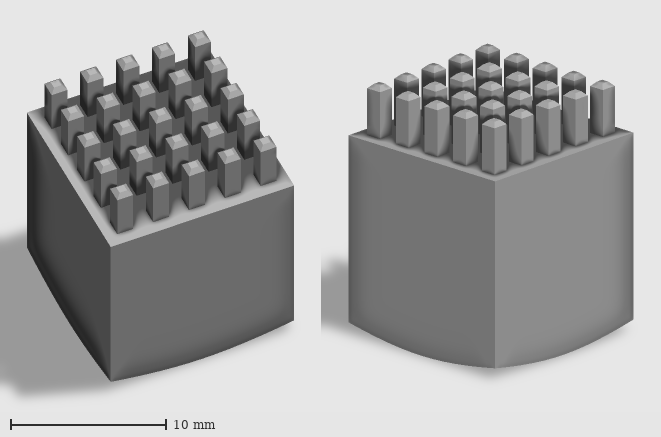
import cadquery as cq
import math

body_width = 13.0
body_height = 13.5

relief_angle = 15.0
relief_start_radius = body_width / 2
corner_radius = body_width / math.sqrt(2)
cone_outer_radius = corner_radius + 1.0
cone_rise = (cone_outer_radius - relief_start_radius) * math.tan(math.radians(relief_angle))

pins_per_side = 5
pin_pitch = 2.54
pin_width = 1.13
pin_height = 3.5
tip_chamfer = 0.3


def make_body():
    """Square block whose lower corners are trimmed by a shallow cone."""
    block = cq.Workplane("XY").box(body_width, body_width, body_height, centered=(True, True, False))
    envelope = (
        cq.Workplane("XZ")
        .moveTo(0, 0)
        .lineTo(relief_start_radius, 0)
        .lineTo(cone_outer_radius, cone_rise)
        .lineTo(cone_outer_radius, body_height)
        .lineTo(0, body_height)
        .close()
        .revolve(360, (0, 0, 0), (0, 1, 0))
    )
    return block.intersect(envelope)


def add_pins(body):
    """Square grid of pins standing on the top face."""
    pin = (
        cq.Workplane("XY")
        .box(pin_width, pin_width, pin_height, centered=(True, True, False))
        .faces(">Z")
        .chamfer(tip_chamfer)
    )
    grid = cq.Workplane("XY", origin=(0, 0, body_height)).rarray(
        pin_pitch, pin_pitch, pins_per_side, pins_per_side
    )
    pins = grid.eachpoint(lambda place: pin.val().moved(place))
    return body.union(pins)


result = add_pins(make_body())